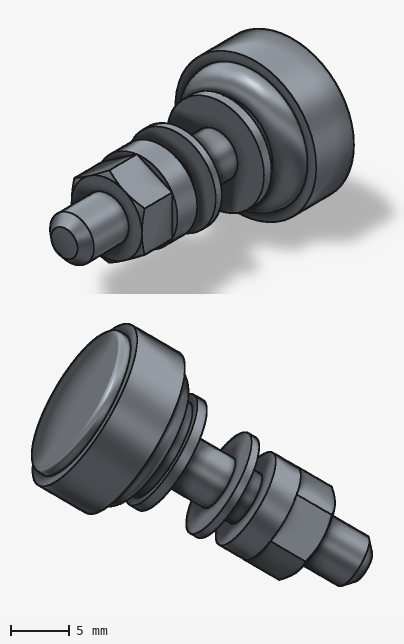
import cadquery as cq
import math


head_dia = 14.0
head_length = 8.0
back_edge_radius = 0.5
shoulder_radius = 2.0
rim_dia = 16.0
rim_start = 1.0
rim_length = 5.0

neck_dia = 9.5
neck_length = 1.0
flange_dia = 11.0
flange_length = 1.0

shank_dia = 5.0
overall_length = 30.0
tip_chamfer = 1.0

flat_washer_dia = 10.0
flat_washer_thickness = 0.8
flat_washer_start = 15.0

lock_washer_dia = 9.2
lock_washer_height = 2.6
lock_washer_gap = 2.0
lock_washer_start = flat_washer_start + flat_washer_thickness + lock_washer_gap

nut_across_flats = 8.0
nut_height = 4.0
nut_start = lock_washer_start + lock_washer_height
nut_chamfer_angle = 30.0


def cylinder(start, length, diameter):
    """Cylinder along the axis, starting at a distance from the head's back face."""
    return cq.Workplane("XZ", origin=(0, -start, 0)).circle(diameter / 2).extrude(length)


def make_stud():
    """Rounded head with its rim, neck, flange and chamfered shank."""
    head = (
        cylinder(0, head_length, head_dia)
        .faces(">Y").edges().fillet(back_edge_radius)
        .faces("<Y").edges().fillet(shoulder_radius)
    )
    rim = cylinder(rim_start, rim_length, rim_dia)
    neck = cylinder(head_length, neck_length, neck_dia)
    flange_start = head_length + neck_length
    flange = cylinder(flange_start, flange_length, flange_dia)
    shank_start = flange_start + flange_length
    shank = (
        cylinder(shank_start, overall_length - shank_start, shank_dia)
        .faces("<Y").edges().chamfer(tip_chamfer)
    )
    return head.union(rim).union(neck).union(flange).union(shank)


def make_washer(start, thickness, diameter):
    """Plain ring that fits the shank."""
    return cylinder(start, thickness, diameter).cut(cylinder(start, thickness, shank_dia))


def make_nut():
    """Hexagon with corners on +/-Z and its outer end chamfered down to the flats."""
    corner_dia = nut_across_flats / math.cos(math.radians(30))
    corner_overhang = (corner_dia - nut_across_flats) / 2
    chamfer_depth = corner_overhang * math.tan(math.radians(nut_chamfer_angle))
    hexagon = (
        cq.Workplane("XZ", origin=(0, -nut_start, 0))
        .transformed(rotate=(0, 0, 90))
        .polygon(6, corner_dia)
        .extrude(nut_height)
    )
    chamfer_envelope = (
        cylinder(nut_start, nut_height, corner_dia)
        .faces("<Y").edges().chamfer(chamfer_depth, corner_overhang)
    )
    bore = cylinder(nut_start, nut_height, shank_dia)
    return hexagon.intersect(chamfer_envelope).cut(bore)


stud = make_stud()
flat_washer = make_washer(flat_washer_start, flat_washer_thickness, flat_washer_dia)
lock_washer = make_washer(lock_washer_start, lock_washer_height, lock_washer_dia)
nut = make_nut()

result = cq.Compound.makeCompound([
    stud.val(),
    flat_washer.val(),
    lock_washer.val(),
    nut.val(),
])